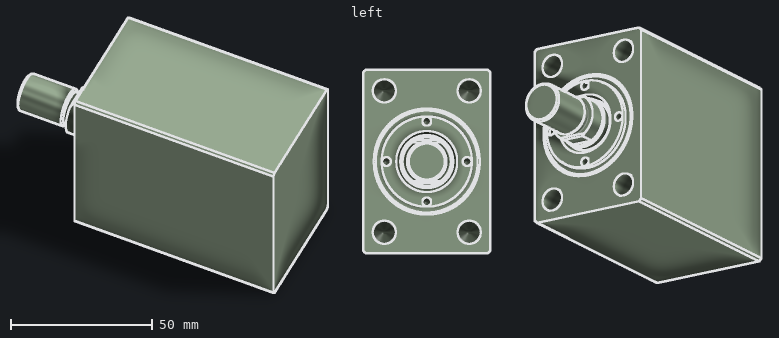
import cadquery as cq
import math


HOUSING_LENGTH = 78.0
HOUSING_WIDTH = 45.0
HOUSING_HEIGHT = 65.0
HOUSING_EDGE_CHAMFER = 1.0

MOUNT_PITCH_Y = 30.0
MOUNT_PITCH_Z = 50.0
MOUNT_DIAMETER = 8.2
MOUNT_DEPTH = 16.2
DRILL_POINT_ANGLE = 118.0

GLAND_RADIUS = 18.0
GLAND_DEPTH = 10.8
SEAT_CHAMFER = 0.8
BOSS_RADIUS = 16.0
BOSS_HEIGHT = 1.9
DISH_RADIUS = 10.8
DISH_FLOOR_RADIUS = 9.4
DISH_DEPTH = 2.2

SPANNER_HOLE_COUNT = 4
SPANNER_HOLE_DIAMETER = 3.1
SPANNER_HOLE_DEPTH = 4.3
SPANNER_CIRCLE_RADIUS = 14.3

WIPER_RADIUS = 9.1
WIPER_PROJECTION = 3.7
WIPER_DEPTH = 4.3
WIPER_LIP_BEVEL_HEIGHT = 0.3
WIPER_LIP_BEVEL_LENGTH = 0.6

ROD_RADIUS = 8.5
ROD_PROJECTION = 30.0
ROD_TIP = -ROD_PROJECTION
ROD_SHOULDER = -10.0
STUD_RADIUS = 7.0
STUD_CHAMFER = 0.6
UNDERCUT_RADIUS = 6.0
UNDERCUT_LENGTH = 2.0
UNDERCUT_FILLET = 0.6
FLAT_OFFSET = 7.6
FLAT_CUT_MARGIN = 1.1
FLAT_CHAMFER_HEIGHT = 0.8
FLAT_CHAMFER_LENGTH = 0.5


def cylinder(radius, start, end):
    """Cylinder on the X axis between two X positions."""
    return cq.Workplane("YZ", origin=(start, 0, 0)).circle(radius).extrude(end - start)


def cone(start_radius, end_radius, start, end):
    """Truncated cone on the X axis between two X positions."""
    profile = [(start, 0), (start, start_radius), (end, end_radius), (end, 0)]
    return cq.Workplane("XY").polyline(profile).close().revolve(360, (0, 0, 0), (1, 0, 0))


def drilled_hole(diameter, start, depth):
    """Cutter on the X axis for a blind hole with a conical drill point."""
    radius = diameter / 2
    point_length = radius / math.tan(math.radians(DRILL_POINT_ANGLE / 2))
    profile = [(start, 0), (start, radius), (start + depth, radius), (start + depth + point_length, 0)]
    return cq.Workplane("XY").polyline(profile).close().revolve(360, (0, 0, 0), (1, 0, 0))


def make_housing():
    block = (
        cq.Workplane("XY")
        .box(HOUSING_LENGTH, HOUSING_WIDTH, HOUSING_HEIGHT, centered=(False, True, True))
        .edges("|X")
        .chamfer(HOUSING_EDGE_CHAMFER)
    )
    block = block.cut(cylinder(GLAND_RADIUS, 0, GLAND_DEPTH))
    block = block.cut(cone(GLAND_RADIUS + SEAT_CHAMFER, GLAND_RADIUS, 0, SEAT_CHAMFER))
    mount_hole = drilled_hole(MOUNT_DIAMETER, 0, MOUNT_DEPTH)
    for side_y in (-1, 1):
        for side_z in (-1, 1):
            place = (0, side_y * MOUNT_PITCH_Y / 2, side_z * MOUNT_PITCH_Z / 2)
            block = block.cut(mount_hole.translate(place))
    return block


def make_gland():
    gland = cylinder(GLAND_RADIUS, 0, GLAND_DEPTH).union(cylinder(BOSS_RADIUS, -BOSS_HEIGHT, 0))
    gland = gland.cut(cylinder(ROD_RADIUS, -BOSS_HEIGHT, GLAND_DEPTH))
    gland = gland.cut(cylinder(WIPER_RADIUS, -BOSS_HEIGHT, WIPER_DEPTH))
    gland = gland.cut(cone(DISH_RADIUS, DISH_FLOOR_RADIUS, -BOSS_HEIGHT, DISH_DEPTH - BOSS_HEIGHT))
    spanner_hole = drilled_hole(SPANNER_HOLE_DIAMETER, -BOSS_HEIGHT, SPANNER_HOLE_DEPTH)
    spanner_hole = spanner_hole.translate((0, SPANNER_CIRCLE_RADIUS, 0))
    for index in range(SPANNER_HOLE_COUNT):
        angle = index * 360 / SPANNER_HOLE_COUNT
        gland = gland.cut(spanner_hole.rotate((0, 0, 0), (1, 0, 0), angle))
    return gland


def make_wiper():
    lip_start = -WIPER_PROJECTION
    bevel_end = lip_start + WIPER_LIP_BEVEL_LENGTH
    lip = cone(WIPER_RADIUS - WIPER_LIP_BEVEL_HEIGHT, WIPER_RADIUS, lip_start, bevel_end)
    ring = lip.union(cylinder(WIPER_RADIUS, bevel_end, WIPER_DEPTH))
    return ring.cut(cylinder(ROD_RADIUS, lip_start, WIPER_DEPTH))


def make_flat_cutter():
    """Cutter for the upper spanner flat, bevelled at its front end and ending at the wiper lip."""
    outer = ROD_RADIUS + FLAT_CUT_MARGIN
    profile = [
        (ROD_SHOULDER, FLAT_OFFSET - FLAT_CHAMFER_HEIGHT),
        (ROD_SHOULDER + FLAT_CHAMFER_LENGTH, FLAT_OFFSET),
        (-WIPER_PROJECTION, FLAT_OFFSET),
        (-WIPER_PROJECTION, outer),
        (ROD_SHOULDER, outer),
    ]
    return cq.Workplane("XZ").polyline(profile).close().extrude(outer, both=True)


def make_rod():
    stud_end = ROD_SHOULDER - UNDERCUT_LENGTH
    rod = cylinder(ROD_RADIUS, ROD_SHOULDER, GLAND_DEPTH)
    flat_cutter = make_flat_cutter()
    rod = rod.cut(flat_cutter).cut(flat_cutter.mirror("XY"))
    stud = cylinder(STUD_RADIUS, ROD_TIP, stud_end).edges().chamfer(STUD_CHAMFER)
    undercut = cylinder(UNDERCUT_RADIUS, stud_end, ROD_SHOULDER)
    root_fillet = (
        cq.Workplane("XY")
        .moveTo(ROD_SHOULDER - UNDERCUT_FILLET, 0)
        .lineTo(ROD_SHOULDER - UNDERCUT_FILLET, UNDERCUT_RADIUS)
        .radiusArc((ROD_SHOULDER, UNDERCUT_RADIUS + UNDERCUT_FILLET), -UNDERCUT_FILLET)
        .lineTo(ROD_SHOULDER, 0)
        .close()
        .revolve(360, (0, 0, 0), (1, 0, 0))
    )
    return rod.union(undercut).union(root_fillet).union(stud)


housing = make_housing()
gland = make_gland()
wiper = make_wiper()
rod = make_rod()

result = cq.Compound.makeCompound([housing.val(), gland.val(), wiper.val(), rod.val()])